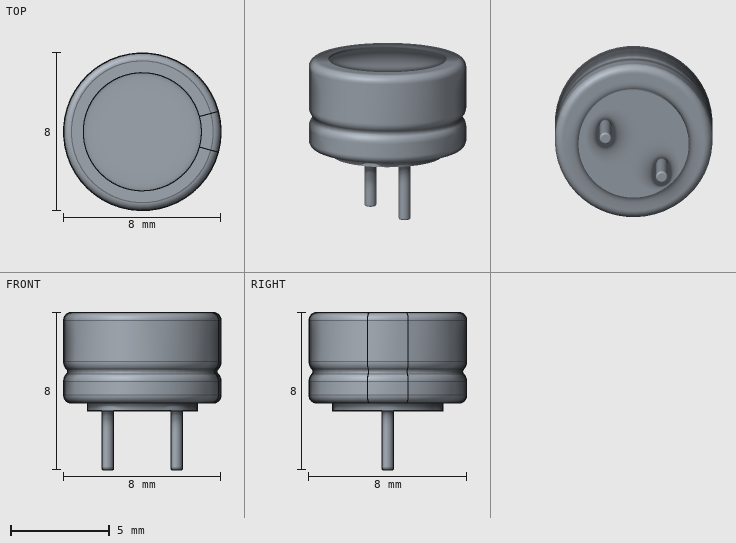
import cadquery as cq
import math


sleeve_diameter = 8.0
sleeve_radius = sleeve_diameter / 2
sleeve_bottom_z = 0.4
sleeve_top_z = 5.0
rim_fillet = 0.4

sleeve_thickness = 0.1
top_opening_diameter = 6.0
stripe_angle = 30.0

groove_z = 2.0
groove_depth = 0.2
groove_root_radius = 0.19
groove_shoulder_radius = 0.55

base_diameter = 5.6
base_height = sleeve_bottom_z + sleeve_thickness

lead_diameter = 0.6
lead_length = 3.0
lead_pitch = 3.5
lead_tip_fillet = 0.1


def capacitor_envelope(inset, angle):
    """Grooved drum, revolved through angle from +X, lying inset inside the sleeve's outer surface."""
    side_x = sleeve_radius - inset
    bottom_z = sleeve_bottom_z + inset
    top_z = sleeve_top_z - inset

    fillet = rim_fillet - inset
    rim_x = side_x - fillet
    lower_rim_z = bottom_z + fillet
    upper_rim_z = top_z - fillet
    rim_mid = fillet * math.sqrt(0.5)

    root = groove_root_radius + inset
    shoulder = groove_shoulder_radius - inset
    center_distance = root + shoulder
    sweep = math.acos(1 - groove_depth / center_distance)
    shoulder_rise = center_distance * math.sin(sweep)
    joint_x = side_x - shoulder * (1 - math.cos(sweep))
    joint_rise = root * math.sin(sweep)
    shoulder_mid_x = side_x - shoulder * (1 - math.cos(sweep / 2))
    shoulder_mid_rise = shoulder_rise - shoulder * math.sin(sweep / 2)

    half_section = (
        cq.Workplane("XZ")
        .moveTo(0, bottom_z)
        .lineTo(rim_x, bottom_z)
        .threePointArc((rim_x + rim_mid, lower_rim_z - rim_mid), (side_x, lower_rim_z))
        .lineTo(side_x, groove_z - shoulder_rise)
        .threePointArc((shoulder_mid_x, groove_z - shoulder_mid_rise), (joint_x, groove_z - joint_rise))
        .threePointArc((side_x - groove_depth, groove_z), (joint_x, groove_z + joint_rise))
        .threePointArc((shoulder_mid_x, groove_z + shoulder_mid_rise), (side_x, groove_z + shoulder_rise))
        .lineTo(side_x, upper_rim_z)
        .threePointArc((rim_x + rim_mid, upper_rim_z + rim_mid), (rim_x, top_z))
        .lineTo(0, top_z)
        .close()
    )
    return half_section.revolve(angle, (0, 0, 0), (0, 1, 0))


def make_can():
    return capacitor_envelope(sleeve_thickness, 360)


def make_base():
    return cq.Workplane("XY").circle(base_diameter / 2).extrude(base_height)


def make_sleeve_sector(start_angle, sector_angle):
    """Sector of the sleeve, hollowed to fit the can and opened at the top and bottom."""
    sector = capacitor_envelope(0, sector_angle).rotate((0, 0, 0), (0, 0, 1), start_angle)
    top_opening = (
        cq.Workplane("XY")
        .workplane(offset=sleeve_top_z - sleeve_thickness)
        .circle(top_opening_diameter / 2)
        .extrude(sleeve_thickness)
    )
    return sector.cut(make_can()).cut(top_opening).cut(make_base()).solids()


def make_lead(x):
    """Straight lead hanging from the base, with a rounded tip."""
    lead = cq.Workplane("XY").center(x, 0).circle(lead_diameter / 2).extrude(-lead_length)
    return lead.faces("<Z").edges().fillet(lead_tip_fillet)


can = make_can()
base = make_base()

stripe = make_sleeve_sector(-stripe_angle / 2, stripe_angle)
sleeve = make_sleeve_sector(stripe_angle / 2, 360 - stripe_angle)

leads = []
for side in (-1, 1):
    leads.append(make_lead(side * lead_pitch / 2).val())

result = cq.Compound.makeCompound([can.val(), base.val(), stripe.val(), sleeve.val(), *leads])